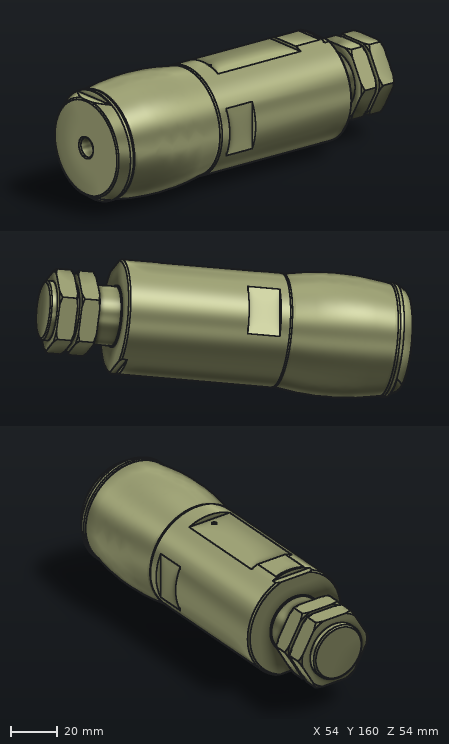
import cadquery as cq
import math


total_length = 160.0
cap_length = 7.4
sleeve_end = 54.7
housing_end = 128.0

body_diameter = 50.0
rim_chamfer = 0.3
rim_chamfer_length = 1.0
housing_chamfer = 0.8
flat_width = 45.0
flat_distance = flat_width / 2
large_flat_start = 64.8
large_flat_end = 110.5
small_flat_distance = 23.8
small_flat_end = 124.0
end_flat_width = 46.0
end_flat_distance = end_flat_width / 2
end_flat_start = 125.0
side_flat_start = 59.8
side_flat_end = 74.2
pit_diameter = 2.0
pit_depth = 1.0
pit_point_depth = 0.6
pit_position = 68.3

stud_diameter = 26.0
stud_tip_diameter = 24.3
stud_chamfer_length = 0.6
collar_diameter = 26.9
collar_length = 0.5

sleeve_diameter = 54.0
sleeve_rim_diameter = 49.8
sleeve_taper = 0.3
sleeve_taper_length = 1.5

cap_cone_start = 4.8
cap_face_diameter = 44.5
cap_edge_chamfer = 0.8
cap_edge_length = 0.5
cap_flat_distance = 22.0
cap_flat_length = 4.5
cap_hole_diameter = 8.6
cap_hole_mouth = 10.0

nut_across_flats = 32.5
nut_thickness = 8.0
nut_pitch = 10.0
nut_first_start = 139.0
nut_count = 2
nut_face_diameter = 34.5
nut_chamfer_angle = 30.0


def revolve_profile(profile):
    """Close an outline and turn it about the vertical axis of its own sketch plane."""
    return profile.close().revolve(360, (0, 0), (0, 1))


def turned(points):
    """Solid of revolution about the Y axis from (radius, Y) points."""
    return revolve_profile(cq.Workplane("XY").polyline(points))


def flat_cutter(distance, start, end, angle=0):
    """Block outside a flat that faces +Z, swung about the Y axis by the angle."""
    block = cq.Workplane("XY").box(
        body_diameter, end - start, body_diameter, centered=(True, False, False)
    )
    return block.translate((0, start, distance)).rotate((0, 0, 0), (0, 1, 0), angle)


def make_housing():
    radius = body_diameter / 2
    stud_radius = stud_diameter / 2
    collar_radius = collar_diameter / 2
    housing = turned([
        (0, sleeve_end),
        (radius - rim_chamfer, sleeve_end),
        (radius, sleeve_end + rim_chamfer_length),
        (radius, housing_end - housing_chamfer),
        (radius - housing_chamfer, housing_end),
        (collar_radius, housing_end),
        (collar_radius, housing_end + collar_length),
        (stud_radius, housing_end + collar_length),
        (stud_radius, total_length - stud_chamfer_length),
        (stud_tip_diameter / 2, total_length),
        (0, total_length),
    ])

    housing = housing.cut(flat_cutter(flat_distance, large_flat_start, large_flat_end))
    housing = housing.cut(flat_cutter(small_flat_distance, large_flat_end, small_flat_end))

    for angle in (0, 180):
        housing = housing.cut(flat_cutter(end_flat_distance, end_flat_start, housing_end, angle))
        housing = housing.cut(flat_cutter(flat_distance, side_flat_start, side_flat_end, angle + 90))

    pit_floor = flat_distance - pit_depth
    pit = (
        cq.Workplane("XZ")
        .moveTo(0, flat_distance)
        .lineTo(pit_diameter / 2, flat_distance)
        .lineTo(pit_diameter / 2, pit_floor)
        .lineTo(0, pit_floor - pit_point_depth)
    )
    return housing.cut(revolve_profile(pit).translate((0, pit_position, 0)))


def make_sleeve():
    rim_radius = sleeve_rim_diameter / 2
    end_radius = rim_radius - sleeve_taper
    profile = (
        cq.Workplane("XY")
        .moveTo(0, cap_length)
        .lineTo(end_radius, cap_length)
        .lineTo(rim_radius, cap_length + sleeve_taper_length)
        .threePointArc(
            (sleeve_diameter / 2, (cap_length + sleeve_end) / 2),
            (rim_radius, sleeve_end - sleeve_taper_length),
        )
        .lineTo(end_radius, sleeve_end)
        .lineTo(0, sleeve_end)
    )
    return revolve_profile(profile)


def make_cap():
    radius = body_diameter / 2
    face_radius = cap_face_diameter / 2
    cap = turned([
        (0, 0),
        (face_radius - cap_edge_chamfer, 0),
        (face_radius, cap_edge_length),
        (radius, cap_cone_start),
        (radius, cap_length - rim_chamfer_length),
        (radius - rim_chamfer, cap_length),
        (0, cap_length),
    ])

    for angle in (0, 180):
        cap = cap.cut(flat_cutter(cap_flat_distance, 0, cap_flat_length, angle))

    hole_radius = cap_hole_diameter / 2
    mouth_radius = cap_hole_mouth / 2
    hole = turned([
        (0, 0),
        (mouth_radius, 0),
        (hole_radius, mouth_radius - hole_radius),
        (hole_radius, cap_length),
        (0, cap_length),
    ])
    return cap.cut(hole)


def make_nut(start):
    """Hexagon nut with two flats facing +Z and -Z and both faces chamfered."""
    across_corners = nut_across_flats / math.cos(math.pi / 6)
    corner_radius = across_corners / 2
    face_radius = nut_face_diameter / 2
    chamfer_length = (corner_radius - face_radius) * math.tan(math.radians(nut_chamfer_angle))

    end = start + nut_thickness
    hexagon = (
        cq.Workplane("XZ", origin=(0, end, 0))
        .polygon(6, across_corners)
        .circle(stud_diameter / 2)
        .extrude(nut_thickness)
    )
    envelope = turned([
        (0, start),
        (face_radius, start),
        (corner_radius, start + chamfer_length),
        (corner_radius, end - chamfer_length),
        (face_radius, end),
        (0, end),
    ])
    return hexagon.intersect(envelope)


housing = make_housing()
sleeve = make_sleeve()
cap = make_cap()
nuts = [make_nut(nut_first_start + i * nut_pitch) for i in range(nut_count)]

result = cq.Compound.makeCompound([
    housing.val(),
    sleeve.val(),
    cap.val(),
    *[nut.val() for nut in nuts],
])